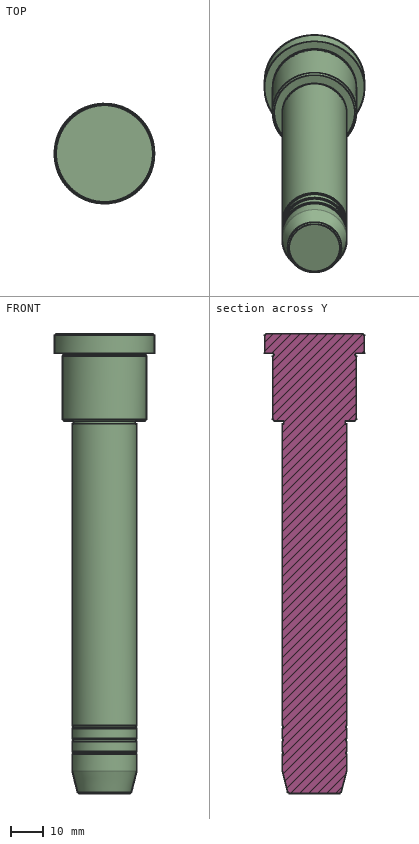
import cadquery as cq

total_length = 142.0
head_radius = 15.5
collar_radius = 13.0
shaft_radius = 10.01

head_height = 6.1
head_chamfer = 0.5
collar_bottom = total_length - 27.0
collar_chamfer = 0.5

relief_height = 0.9
relief_depth = 0.4

groove_count = 3
groove_pitch = 4.0
groove_height = 1.0
groove_depth = 0.3
lowest_groove_bottom = 12.0

tip_height = 7.0
tip_radius = 8.2
tip_chamfer = 0.4


def cylinder(radius, bottom, top):
    return cq.Workplane("XY").workplane(offset=bottom).circle(radius).extrude(top - bottom)


def square_groove(radius, bottom, height, depth):
    outer = cylinder(radius + depth, bottom, bottom + height)
    return outer.cut(cylinder(radius - depth, bottom, bottom + height))


def v_groove(radius, bottom, height, depth):
    top = bottom + height
    return (
        cq.Workplane("XZ")
        .moveTo(radius, bottom)
        .lineTo(radius - depth, (bottom + top) / 2)
        .lineTo(radius, top)
        .lineTo(radius + depth, top)
        .lineTo(radius + depth, bottom)
        .close()
        .revolve(360, (0, 0), (0, 1))
    )


head_bottom = total_length - head_height
head = cylinder(head_radius, head_bottom, total_length).faces(">Z").edges().chamfer(head_chamfer)

collar = (
    cq.Workplane("XZ")
    .moveTo(0, collar_bottom)
    .lineTo(collar_radius - collar_chamfer, collar_bottom)
    .lineTo(collar_radius, collar_bottom + collar_chamfer)
    .lineTo(collar_radius, head_bottom)
    .lineTo(0, head_bottom)
    .close()
    .revolve(360, (0, 0), (0, 1))
)
collar = collar.cut(v_groove(collar_radius, head_bottom - relief_height, relief_height, relief_depth))

shaft = cylinder(shaft_radius, tip_height, collar_bottom)
shaft = shaft.cut(square_groove(shaft_radius, collar_bottom - relief_height, relief_height, relief_depth))
for index in range(groove_count):
    groove_bottom = lowest_groove_bottom + index * groove_pitch
    shaft = shaft.cut(v_groove(shaft_radius, groove_bottom, groove_height, groove_depth))

tip = (
    cq.Workplane("XY")
    .circle(tip_radius)
    .workplane(offset=tip_height)
    .circle(shaft_radius)
    .loft(ruled=True)
    .faces("<Z")
    .edges()
    .chamfer(tip_chamfer)
)

result = head.union(collar).union(shaft).union(tip)